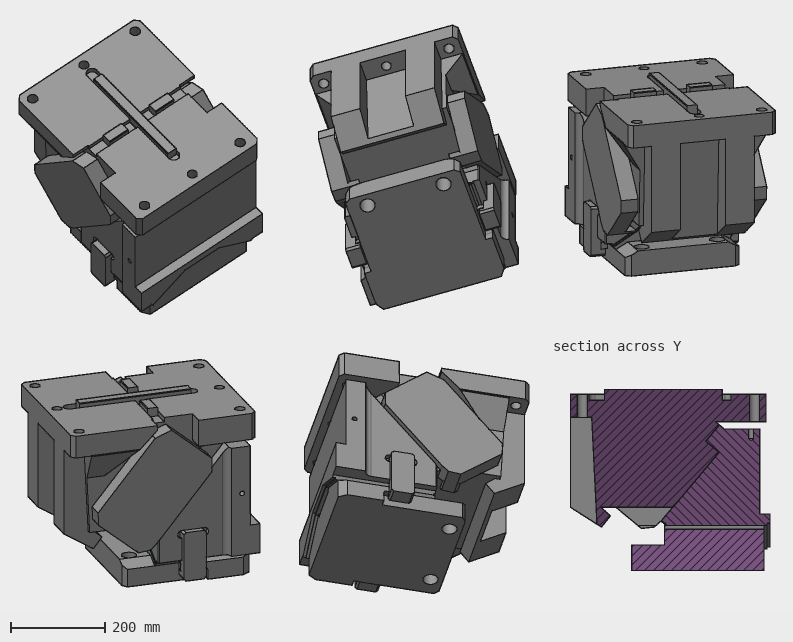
import cadquery as cq
import math


TOTAL_HEIGHT = 384.0
HALF_WIDTH = 165.0

INCLINE_ANGLE = 50.0
TOE_X = 191.5
TOE_Z = 105.0
SIN_INCLINE = math.sin(math.radians(INCLINE_ANGLE))
COS_INCLINE = math.cos(math.radians(INCLINE_ANGLE))
TAN_INCLINE = SIN_INCLINE / COS_INCLINE

BASE_START = 130.0
BASE_END = 410.5
BASE_NARROW_HALF = 127.7
BASE_WIDE_HALF = 142.5
BASE_WIDE_START = 254.0
BASE_SIDE_HEIGHT = 40.0
BASE_FRONT_HEIGHT = 54.5
BASE_FRONT_FLAT_HALF = 101.0
FRONT_CORNER_X = 8.5
REAR_CORNER_X = 17.0
BASE_CORNER_Y = 11.5
BASE_HOLE_DIAMETER = 32.0
BASE_HOLE_X = 156.5
BASE_HOLE_Y = 84.5
CLIP_NOTCH_END = 313.5
CLIP_NOTCH_HEIGHT = 27.0
CLIP_NOTCH_RADIUS = 5.0

ROOF_SLOPE = math.tan(math.radians(30))
ROOF_TOP = 95.5
ROOF_EAVE_HALF = 132.0
ROOF_GROOVE_HALF = 41.5
ROOF_GROOVE_FLOOR = 88.0

SLIDE_START = 199.2
SLIDE_TOE_CORNER_Z = 99.0
SLIDE_BOTTOM = 54.5
SLIDE_TOP = 300.8
SLIDE_BACK = 401.5
SLIDE_FOOT_END = 423.0
SLIDE_FOOT_TOP = 120.5
SLIDE_RECESS_HALF = 150.5
SLIDE_WING_START = 358.3
SLIDE_PAD_HALF = 136.5
SLIDE_FRONT_CHAMFER = 2.5
PAD_THICKNESS = 4.5
PAD_START = 201.8
PAD_END = 416.5
WING_HOLE_DIAMETER = 10.0
WING_HOLE_DEPTH = 21.0
DRILL_POINT_ANGLE = 118.0
WING_HOLE_X = 383.0
WING_HOLE_Z = 195.0
SHOULDER_START = 190.5
SHOULDER_END = 236.0
SHOULDER_RISE = 37.0

PLATE_INNER = 124.8
PLATE_OUTER = 163.0
PLATE_RIGHT_X = 315.0
PLATE_LIP_INNER = 100.3
PLATE_LIP_TOP = 95.5

CLIP_START = 252.0
CLIP_END = 302.0
CLIP_BOTTOM = 11.5
CLIP_TOP = 122.2
CLIP_HOOK_INNER = 133.0
CLIP_CORNER = 4.5
CLIP_SLOT_START = 243.2
CLIP_SLOT_END = 312.0
CLIP_SLOT_HEIGHT = 18.0
CLIP_SLOT_DEPTH = 12.5

HOLDER_LENGTH = 414.5
HOLDER_TOP = 374.5
HOLDER_FRONT_UNDERSIDE = 325.0
HOLDER_REAR_UNDERSIDE = 315.0
HOLDER_CORNER = 9.7
CORE_BOTTOM = 134.0
COLUMN_HALF = 115.0
COLUMN_GROOVE_HALF = 50.8
COLUMN_BACK_TOP_X = 45.0
COLUMN_BACK_BOTTOM_X = 54.0
NOTCH_FRONT_X = 193.0
NOTCH_REAR_X = 285.0
NOTCH_KNEE_Z = 364.5
GUSSET_BOTTOM = 259.5
GUSSET_TOP = 322.5
HOOK_TIP = (85.0, 116.5)
HOOK_HEEL = (66.0, 92.2)
HOOK_ROOT_X = 65.0

KEY_WIDTH = 23.5
KEY_EDGE = 1.5
LONG_KEY_START = 72.0
LONG_KEY_END = 322.0
LONG_SLOT_START = 39.8
LONG_SLOT_END = 340.0
LONG_SLOT_WIDTH = 25.5
LONG_SLOT_DEPTH = 12.5
CROSS_SLOT_X = 209.0
CROSS_SLOT_WIDTH = 26.0
CROSS_SLOT_DEPTH = 10.0
CROSS_KEY_LENGTH = 50.0
CROSS_KEY_Y = 62.5
SCREW_DIAMETER = 22.0
DOWEL_DIAMETER = 20.7
FRONT_HOLE_X = 25.0
FRONT_HOLE_Y = 139.5
REAR_HOLE_X = 390.0
REAR_HOLE_Y = 130.3


def on_incline(along, rise):
    """XZ point at a distance along the incline from its toe, raised square to it."""
    x = TOE_X + along * COS_INCLINE - rise * SIN_INCLINE
    z = TOE_Z + along * SIN_INCLINE + rise * COS_INCLINE
    return (x, z)


def incline_x(z):
    return TOE_X + (z - TOE_Z) / TAN_INCLINE


def shoulder_end(z):
    """Point at height z on the end plane of the shoulder, which is square to the incline."""
    along_z = TOE_Z + SHOULDER_END * SIN_INCLINE
    return on_incline(SHOULDER_END, (z - along_z) / COS_INCLINE)


def roof_z(y):
    return BASE_SIDE_HEIGHT + (BASE_WIDE_HALF - y) * ROOF_SLOPE


def prism_y(points, y_start, y_end):
    """XZ outline extruded between two Y positions."""
    return cq.Workplane("XZ", origin=(0, y_start, 0)).polyline(points).close().extrude(y_start - y_end)


def prism_x(half_points, x_start, x_end):
    """Symmetric YZ outline, given by its +Y half from bottom to top, extruded along X."""
    mirrored = [(-y, z) for y, z in reversed(half_points)]
    outline = half_points + mirrored
    return cq.Workplane("YZ", origin=(x_start, 0, 0)).polyline(outline).close().extrude(x_end - x_start)


def block(x_start, x_end, y_start, y_end, z_start, z_end):
    size = (x_end - x_start, y_end - y_start, z_end - z_start)
    return cq.Workplane(origin=(x_start, y_start, z_start)).box(*size, centered=False)


def both_sides(solid):
    return solid.union(solid.mirror("XZ"))


def vertical_hole(x, y, diameter, z_start, z_end):
    return cq.Workplane(origin=(x, y, z_start)).circle(diameter / 2).extrude(z_end - z_start)


ROOF_FLAT_HALF = BASE_WIDE_HALF - (ROOF_TOP - BASE_SIDE_HEIGHT) / ROOF_SLOPE
ROOF_CREST = [(ROOF_FLAT_HALF, ROOF_TOP)]


def corner_cut(corner_x, side_y, leg_x):
    """Triangular prism that bevels a vertical corner of the base; leg_x points inward."""
    triangle = [(corner_x, side_y), (corner_x + leg_x, side_y), (corner_x, side_y - BASE_CORNER_Y)]
    return both_sides(cq.Workplane().polyline(triangle).close().extrude(ROOF_TOP))


def clip_notch():
    """Pocket low in each base side that lets the clip hook under the ledge."""
    notch = block(
        BASE_WIDE_START, CLIP_NOTCH_END, BASE_NARROW_HALF, BASE_WIDE_HALF,
        -CLIP_NOTCH_RADIUS, CLIP_NOTCH_HEIGHT,
    )
    return both_sides(notch.edges("|Y and >X and >Z").fillet(CLIP_NOTCH_RADIUS))


def make_base():
    front = prism_x(
        [
            (BASE_NARROW_HALF, 0),
            (BASE_NARROW_HALF, BASE_SIDE_HEIGHT),
            (BASE_FRONT_FLAT_HALF, BASE_FRONT_HEIGHT),
        ],
        BASE_START,
        SLIDE_START,
    )
    eave = [
        (BASE_NARROW_HALF, 0),
        (BASE_NARROW_HALF, BASE_SIDE_HEIGHT),
        (ROOF_EAVE_HALF, roof_z(ROOF_EAVE_HALF)),
    ]
    narrow = prism_x(eave + ROOF_CREST, SLIDE_START, BASE_WIDE_START)
    sides = [(BASE_WIDE_HALF, 0), (BASE_WIDE_HALF, BASE_SIDE_HEIGHT)]
    wide = prism_x(sides + ROOF_CREST, BASE_WIDE_START, BASE_END)
    body = front.union(narrow).union(wide)
    body = body.cut(corner_cut(BASE_START, BASE_NARROW_HALF, FRONT_CORNER_X))
    body = body.cut(corner_cut(BASE_END, BASE_WIDE_HALF, -REAR_CORNER_X))
    body = body.cut(
        block(SLIDE_START, BASE_END, -ROOF_GROOVE_HALF, ROOF_GROOVE_HALF, ROOF_GROOVE_FLOOR, ROOF_TOP)
    )
    for y in (-BASE_HOLE_Y, BASE_HOLE_Y):
        body = body.cut(vertical_hole(BASE_HOLE_X, y, BASE_HOLE_DIAMETER, 0, BASE_FRONT_HEIGHT))
    return body.cut(clip_notch())


def slide_block():
    """Wedge-shaped body with a rear foot, side recesses and a V-shaped underside."""
    body = prism_y(
        [
            (SLIDE_START, 0),
            (SLIDE_START, SLIDE_TOE_CORNER_Z),
            (TOE_X, TOE_Z),
            (incline_x(SLIDE_TOP), SLIDE_TOP),
            (SLIDE_BACK, SLIDE_TOP),
            (SLIDE_BACK, SLIDE_FOOT_TOP),
            (SLIDE_FOOT_END, SLIDE_FOOT_TOP),
            (SLIDE_FOOT_END, 0),
        ],
        -HALF_WIDTH,
        HALF_WIDTH,
    )
    recess_radius = HALF_WIDTH - SLIDE_RECESS_HALF
    arc_offset = recess_radius * math.sqrt(0.5)
    arc_center_x = SLIDE_WING_START - recess_radius
    recess = (
        cq.Workplane()
        .moveTo(0, SLIDE_RECESS_HALF - SLIDE_FRONT_CHAMFER)
        .lineTo(SLIDE_START, SLIDE_RECESS_HALF - SLIDE_FRONT_CHAMFER)
        .lineTo(SLIDE_START + SLIDE_FRONT_CHAMFER, SLIDE_RECESS_HALF)
        .lineTo(arc_center_x, SLIDE_RECESS_HALF)
        .threePointArc(
            (arc_center_x + arc_offset, HALF_WIDTH - arc_offset),
            (SLIDE_WING_START, HALF_WIDTH),
        )
        .lineTo(0, HALF_WIDTH)
        .close()
        .extrude(SLIDE_TOP)
    )
    below = [(HALF_WIDTH, 0), (HALF_WIDTH, SLIDE_BOTTOM), (SLIDE_PAD_HALF, SLIDE_BOTTOM)]
    pad_edge = [(ROOF_EAVE_HALF, roof_z(ROOF_EAVE_HALF))]
    underside = prism_x(below + pad_edge + ROOF_CREST, SLIDE_START, SLIDE_FOOT_END)
    return body.cut(both_sides(recess)).cut(underside).cut(pad_end_relief())


def pad_end_relief():
    """Raised V at both ends of the slide that leaves a sliding pad between them."""
    raised_eave_z = roof_z(SLIDE_PAD_HALF) + PAD_THICKNESS
    raised_roof = [
        (SLIDE_PAD_HALF, 0),
        (SLIDE_PAD_HALF, raised_eave_z),
        (ROOF_FLAT_HALF, ROOF_TOP + PAD_THICKNESS),
    ]
    front = prism_x(raised_roof, SLIDE_START, PAD_START)
    rear = prism_x(raised_roof, PAD_END, SLIDE_FOOT_END)
    return front.union(rear)


def slide_shoulder():
    """Raised stop at the upper end of the incline, between the side plates."""
    outline = [
        on_incline(SHOULDER_START, 0),
        on_incline(SHOULDER_START, SHOULDER_RISE),
        on_incline(SHOULDER_END, SHOULDER_RISE),
        shoulder_end(SLIDE_TOP),
        (incline_x(SLIDE_TOP), SLIDE_TOP),
    ]
    return prism_y(outline, -PLATE_INNER, PLATE_INNER)


def side_plates():
    """Inclined plate on each flank, with a short inward lip at its lower end."""
    outline = [
        (188.0, 345.0),
        (225.0, 359.0),
        (PLATE_RIGHT_X, 283.5),
        (PLATE_RIGHT_X, TOE_Z + (PLATE_RIGHT_X - TOE_X) * TAN_INCLINE),
        (TOE_X, TOE_Z),
        (177.5, 92.2),
        (150.5, 89.3),
        (61.0, 163.5),
        (59.5, 192.0),
    ]
    plate = prism_y(outline, PLATE_INNER, PLATE_OUTER)
    lip = prism_y(outline, PLATE_LIP_INNER, PLATE_INNER)
    lip = lip.intersect(block(0, PLATE_RIGHT_X, 0, PLATE_INNER, 0, PLATE_LIP_TOP))
    return both_sides(plate.union(lip))


def clip_slots():
    slot_length = CLIP_SLOT_END - CLIP_SLOT_START
    middle_x = (CLIP_SLOT_START + CLIP_SLOT_END) / 2
    middle_z = CLIP_TOP - CLIP_SLOT_HEIGHT / 2
    slot = (
        cq.Workplane("XZ", origin=(middle_x, SLIDE_RECESS_HALF, middle_z))
        .slot2D(slot_length, CLIP_SLOT_HEIGHT)
        .extrude(CLIP_SLOT_DEPTH)
    )
    return both_sides(slot)


def clips():
    """Straps set into the slots that hook under the ledges of the base."""
    slot_bottom = CLIP_TOP - CLIP_SLOT_HEIGHT
    slot_floor = SLIDE_RECESS_HALF - CLIP_SLOT_DEPTH
    strap_steps = (
        (CLIP_HOOK_INNER, CLIP_BOTTOM, CLIP_NOTCH_HEIGHT),
        (BASE_WIDE_HALF, CLIP_NOTCH_HEIGHT, SLIDE_BOTTOM),
        (SLIDE_RECESS_HALF, SLIDE_BOTTOM, slot_bottom),
        (slot_floor, slot_bottom, CLIP_TOP),
    )
    strap = cq.Workplane()
    for inner_y, z_start, z_end in strap_steps:
        strap = strap.union(block(CLIP_START, CLIP_END, inner_y, HALF_WIDTH, z_start, z_end))
    envelope = block(CLIP_START, CLIP_END, 0, HALF_WIDTH, CLIP_BOTTOM, CLIP_TOP)
    return both_sides(strap.intersect(envelope.edges("|Y").chamfer(CLIP_CORNER)))


def drilled_hole(mouth, direction):
    """Blind hole with a conical drill point."""
    radius = WING_HOLE_DIAMETER / 2
    point_depth = radius / math.tan(math.radians(DRILL_POINT_ANGLE / 2))
    shank = cq.Solid.makeCylinder(radius, WING_HOLE_DEPTH, mouth, direction)
    cone_start = mouth + direction * WING_HOLE_DEPTH
    point = cq.Solid.makeCone(radius, 0, point_depth, cone_start, direction)
    return cq.Workplane(shank).union(cq.Workplane(point))


def wing_holes():
    side_mouth = cq.Vector(WING_HOLE_X, HALF_WIDTH, WING_HOLE_Z)
    top_mouth = cq.Vector(WING_HOLE_X, 0, SLIDE_TOP)
    side = drilled_hole(side_mouth, cq.Vector(0, -1, 0))
    top = drilled_hole(top_mouth, cq.Vector(0, 0, -1))
    return both_sides(side).union(top)


def make_slide():
    body = slide_block().union(slide_shoulder()).union(side_plates())
    return body.cut(clip_slots()).union(clips()).cut(wing_holes())


def column_back_x(z):
    """X of the slightly tapered rear face of the column at height z."""
    taper = (COLUMN_BACK_BOTTOM_X - COLUMN_BACK_TOP_X) / (HOLDER_FRONT_UNDERSIDE - CORE_BOTTOM)
    return COLUMN_BACK_TOP_X + (HOLDER_FRONT_UNDERSIDE - z) * taper


def holder_plate():
    outline = [
        (0, HOLDER_FRONT_UNDERSIDE),
        (0, HOLDER_TOP),
        (HOLDER_LENGTH, HOLDER_TOP),
        (HOLDER_LENGTH, HOLDER_REAR_UNDERSIDE),
        (NOTCH_REAR_X, HOLDER_REAR_UNDERSIDE),
        (NOTCH_REAR_X, HOLDER_FRONT_UNDERSIDE),
    ]
    plate = prism_y(outline, -HALF_WIDTH, HALF_WIDTH)
    return plate.edges("|Z and (<X or >X)").chamfer(HOLDER_CORNER)


def holder_core():
    """Body between the side plates that bears on the incline."""
    outline = [
        (COLUMN_BACK_TOP_X, HOLDER_FRONT_UNDERSIDE),
        (COLUMN_BACK_BOTTOM_X, CORE_BOTTOM),
        (incline_x(CORE_BOTTOM), CORE_BOTTOM),
        on_incline(SHOULDER_START, 0),
        on_incline(SHOULDER_START, SHOULDER_RISE),
        on_incline(SHOULDER_END, SHOULDER_RISE),
        shoulder_end(HOLDER_FRONT_UNDERSIDE),
    ]
    return prism_y(outline, -PLATE_INNER, PLATE_INNER)


def holder_gussets():
    """Sloped ribs that widen the core to meet the plate."""
    profile = [
        (PLATE_INNER, GUSSET_BOTTOM),
        (PLATE_OUTER, GUSSET_TOP),
        (PLATE_OUTER, HOLDER_FRONT_UNDERSIDE),
    ]
    rib = prism_x(profile, COLUMN_BACK_TOP_X, NOTCH_FRONT_X)
    low_x = column_back_x(GUSSET_BOTTOM)
    front_trim = prism_y(
        [
            (0, GUSSET_BOTTOM),
            (low_x, GUSSET_BOTTOM),
            (COLUMN_BACK_TOP_X, HOLDER_FRONT_UNDERSIDE),
            (0, HOLDER_FRONT_UNDERSIDE),
        ],
        -HALF_WIDTH,
        HALF_WIDTH,
    )
    return rib.cut(front_trim)


def plate_clearance():
    """45 degree pocket in each flank that clears the side plate of the slide."""
    low_x = NOTCH_FRONT_X - (NOTCH_KNEE_Z - GUSSET_BOTTOM)
    outline = [
        (NOTCH_FRONT_X, HOLDER_TOP),
        (NOTCH_FRONT_X, NOTCH_KNEE_Z),
        (low_x, GUSSET_BOTTOM),
        (NOTCH_REAR_X, GUSSET_BOTTOM),
        (NOTCH_REAR_X, HOLDER_TOP),
    ]
    return both_sides(prism_y(outline, PLATE_INNER, HALF_WIDTH))


def holder_column():
    """Front column ending in a hook, split down its front by a wide groove."""
    outline = [
        (0, HOLDER_FRONT_UNDERSIDE),
        (COLUMN_BACK_TOP_X, HOLDER_FRONT_UNDERSIDE),
        (COLUMN_BACK_BOTTOM_X, CORE_BOTTOM),
        (HOOK_ROOT_X, CORE_BOTTOM),
        HOOK_TIP,
        HOOK_HEEL,
        (0, CORE_BOTTOM),
    ]
    groove = [
        (0, HOLDER_FRONT_UNDERSIDE),
        (COLUMN_BACK_TOP_X, HOLDER_FRONT_UNDERSIDE),
        (column_back_x(0), 0),
        (0, 0),
    ]
    column = prism_y(outline, -COLUMN_HALF, COLUMN_HALF)
    return column.cut(prism_y(groove, -COLUMN_GROOVE_HALF, COLUMN_GROOVE_HALF))


def key_slots():
    long_slot = (
        cq.Workplane(origin=((LONG_SLOT_START + LONG_SLOT_END) / 2, 0, HOLDER_TOP))
        .slot2D(LONG_SLOT_END - LONG_SLOT_START, LONG_SLOT_WIDTH)
        .extrude(-LONG_SLOT_DEPTH)
    )
    cross_slot = block(
        CROSS_SLOT_X - CROSS_SLOT_WIDTH / 2, CROSS_SLOT_X + CROSS_SLOT_WIDTH / 2,
        -HALF_WIDTH, HALF_WIDTH,
        HOLDER_TOP - CROSS_SLOT_DEPTH, HOLDER_TOP,
    )
    return long_slot.union(cross_slot)


def keys():
    """Long key along X and two short keys across it, standing proud of the plate."""
    half_key = KEY_WIDTH / 2
    long_floor = HOLDER_TOP - LONG_SLOT_DEPTH
    long_key = block(LONG_KEY_START, LONG_KEY_END, -half_key, half_key, long_floor, TOTAL_HEIGHT)
    all_keys = long_key.edges("|X and >Z").chamfer(KEY_EDGE)
    for y in (-CROSS_KEY_Y, CROSS_KEY_Y):
        cross_key = block(
            CROSS_SLOT_X - half_key, CROSS_SLOT_X + half_key,
            y - CROSS_KEY_LENGTH / 2, y + CROSS_KEY_LENGTH / 2,
            HOLDER_TOP - CROSS_SLOT_DEPTH, TOTAL_HEIGHT,
        )
        all_keys = all_keys.union(cross_key.edges("|Y and >Z").chamfer(KEY_EDGE))
    return all_keys


def screw_holes():
    holes = cq.Workplane()
    for x, outer_y in ((FRONT_HOLE_X, FRONT_HOLE_Y), (REAR_HOLE_X, REAR_HOLE_Y)):
        for y, diameter in ((-outer_y, SCREW_DIAMETER), (0, DOWEL_DIAMETER), (outer_y, SCREW_DIAMETER)):
            holes = holes.add(vertical_hole(x, y, diameter, HOLDER_REAR_UNDERSIDE, HOLDER_TOP))
    return holes.combine()


def make_holder():
    body = holder_plate().union(holder_core()).union(holder_gussets()).cut(plate_clearance())
    body = body.union(holder_column())
    return body.cut(key_slots()).union(keys()).cut(screw_holes())


base = make_base().solids()
slide = make_slide().solids()
holder = make_holder().solids()

result = cq.Compound.makeCompound([base.val(), slide.val(), holder.val()])